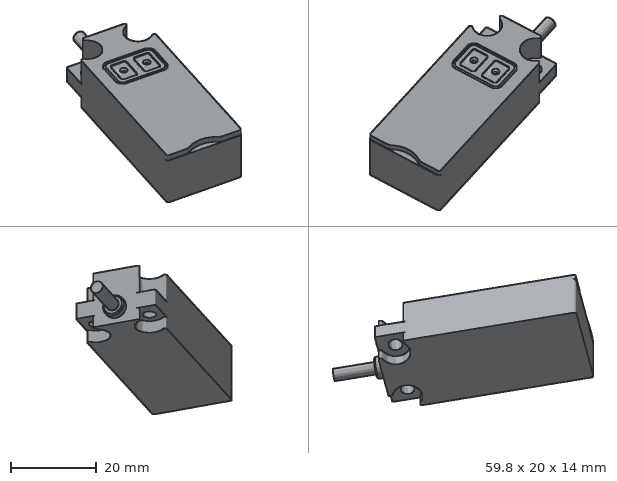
import cadquery as cq
import math

overall_length = 59.8
body_length = 48.0
body_width = 20.0
body_height = 14.0
lid_thickness = 1.5
lid_setback = 0.15
far_corner_radius = 0.6

hole_x = 4.3
hole_spacing = 13.5
hole_diameter = 3.2
lug_bottom = 3.0
lug_top = 7.0
lug_corner_radius = 0.35
clearance_radius = 3.45
clearance_angle = 125.0
clearance_reach = 11.95
mouth_radius = 0.5

cable_projection = overall_length - body_length
cable_diameter = 3.0
cable_z = 4.0
grommet_length = 1.8
grommet_diameter = 5.25
grommet_chamfer = 0.35

scallop_depth = 1.45
scallop_radius = 7.0
scallop_mouth_radius = 3.0

window_x = 15.05
window_length = 9.2
window_width = 13.7
window_corner_radius = 1.85
moat_size = 0.6
pocket_spacing = 6.15
pocket_length = 6.0
pocket_width = 4.2
pocket_depth = 0.3
pocket_corner_radius = 0.55

lens_x = 15.0
dome_base_radius = 1.9
dome_top_radius = 1.25
dome_height = 0.2
dimple_radius = 0.9
dimple_floor_radius = 0.35
dimple_depth = 0.35

lid_bottom = body_height - lid_thickness
lid_length = body_length - lid_setback
edge_margin = 0.05


def block(length, bottom, top):
    """Box of full width starting at the cable end face."""
    box = cq.Workplane("XY").box(length, body_width, top - bottom, centered=(False, True, False))
    return box.translate((0, 0, bottom))


def corner_clearance(side, bottom, top):
    """Round-ended slot around one mounting hole, open toward the corner."""
    depth = top - bottom
    open_end = cq.Workplane("XY").box(
        clearance_reach, 2 * clearance_radius, depth, centered=(False, True, False)
    )
    slot = cq.Workplane("XY").circle(clearance_radius).extrude(depth).union(open_end)
    slot = slot.rotate((0, 0, 0), (0, 0, 1), side * clearance_angle)
    return slot.translate((hole_x, side * hole_spacing / 2, bottom))


def edges_within(layer, x_range, y_range):
    """Upright edges whose midpoints lie in the given X and Y ranges."""
    near = (x_range[0], y_range[0], 0)
    far = (x_range[1], y_range[1], body_height)
    return layer.edges("|Z").edges(cq.selectors.BoxSelector(near, far))


def housing_layer(length, bottom, top, far_radius):
    """Slice of the housing with both mounting corners cleared and their mouths rounded."""
    layer = block(length, bottom, top).edges("|Z and >X").fillet(far_radius)
    for side in (-1, 1):
        layer = layer.cut(corner_clearance(side, bottom, top))
    layer = layer.edges("|Z and <X").fillet(mouth_radius)
    mouth_x_range = (hole_x, hole_x + 2 * clearance_radius)
    for side in (-1, 1):
        wall_y = side * body_width / 2
        wall_mouth = edges_within(layer, mouth_x_range, (wall_y - edge_margin, wall_y + edge_margin))
        layer = wall_mouth.fillet(mouth_radius)
    return layer


def lug_layer():
    """Slice of the housing that keeps its corners as drilled lugs."""
    layer = block(body_length, lug_bottom, lug_top)
    layer = layer.edges("|Z and >X").fillet(far_corner_radius)
    layer = layer.edges("|Z and <X").fillet(lug_corner_radius)
    holes = (
        cq.Workplane("XY")
        .workplane(offset=lug_bottom)
        .rarray(0.6, hole_spacing, 1, 2)
        .circle(hole_diameter / 2)
        .extrude(lug_top - lug_bottom)
        .translate((hole_x, 0, 0))
    )
    return layer.cut(holes)


def lid():
    """Lid slice, set back at the far end, with a scallop in that edge."""
    layer = housing_layer(lid_length, lid_bottom, body_height, far_corner_radius - lid_setback)
    scallop = (
        cq.Workplane("XY")
        .workplane(offset=lid_bottom)
        .center(lid_length - scallop_depth + scallop_radius, 0)
        .circle(scallop_radius)
        .extrude(lid_thickness)
    )
    layer = layer.cut(scallop)
    half_mouth = math.sqrt(scallop_radius**2 - (scallop_radius - scallop_depth) ** 2)
    reach = half_mouth + edge_margin
    mouth = edges_within(layer, (lid_length - edge_margin, lid_length + edge_margin), (-reach, reach))
    return mouth.fillet(scallop_mouth_radius)


def rounded_block(length, width, radius, depth):
    """Block with rounded corners reaching down from the lid surface."""
    raw_block = cq.Workplane("XY").box(length, width, depth, centered=(True, True, False))
    return raw_block.edges("|Z").fillet(radius).translate((window_x, 0, body_height - depth))


def window_moat():
    """Moat with an upright outer wall and an inner wall sloping up to the island."""
    outer = rounded_block(window_length, window_width, window_corner_radius, moat_size)
    island = rounded_block(window_length, window_width, window_corner_radius, 2 * moat_size)
    return outer.cut(island.faces(">Z").chamfer(moat_size))


def lens_pocket():
    return rounded_block(pocket_length, pocket_width, pocket_corner_radius, pocket_depth)


def cone(bottom_radius, top_radius, height):
    """Upright truncated cone standing on Z = 0."""
    profile = [(0, 0), (bottom_radius, 0), (top_radius, height), (0, height)]
    return cq.Workplane("XZ").polyline(profile).close().revolve(360, (0, 0, 0), (0, 1, 0))


def cylinder_along_x(start, end, diameter):
    disc = cq.Workplane("YZ").workplane(offset=start).center(0, cable_z)
    return disc.circle(diameter / 2).extrude(end - start)


result = (
    housing_layer(body_length, 0, lug_bottom, far_corner_radius)
    .union(lug_layer())
    .union(housing_layer(body_length, lug_top, lid_bottom, far_corner_radius))
    .union(lid())
)

result = result.cut(window_moat())
dome = cone(dome_base_radius, dome_top_radius, dome_height)
dimple = cone(dimple_floor_radius, dimple_radius, dimple_depth)
pocket_floor = body_height - pocket_depth
dimple_floor = pocket_floor + dome_height - dimple_depth
for side in (-1, 1):
    pocket_y = side * pocket_spacing / 2
    result = result.cut(lens_pocket().translate((0, pocket_y, 0)))
    result = result.union(dome.translate((lens_x, pocket_y, pocket_floor)))
    result = result.cut(dimple.translate((lens_x, pocket_y, dimple_floor)))

result = result.union(cylinder_along_x(-cable_projection, 0, cable_diameter))
grommet = cylinder_along_x(-grommet_length, 0, grommet_diameter)
result = result.union(grommet.faces("<X").chamfer(grommet_chamfer))